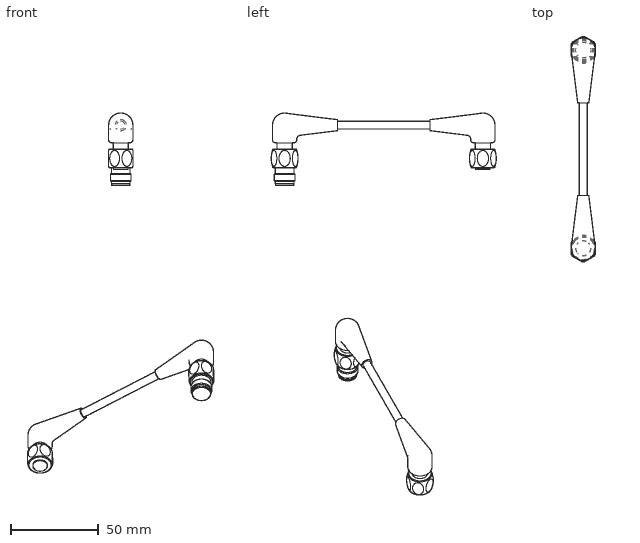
import cadquery as cq
import math

overall_length = 128.6
overall_height = 41.4

elbow_diameter = 14.0
elbow_drop = 10.2
elbow_rim_fillet = 1.9
boot_length = 30.2
boot_tip_diameter = 6.4
crease_fillet = 1.9
cable_diameter = 4.6

neck_diameter = 8.7
nut_top_drop = 13.5
nut_height = 10.9
nut_across_flats = 14.0
nut_waist_diameter = 15.4
nut_end_diameter = 13.4
nut_end_chamfer = 0.4

short_tip_diameter = 8.4
short_tip_length = 0.8
long_shank_diameter = 10.8
collar_diameter = 12.0
collar_top_drop = 27.6
collar_height = 4.5
collar_chamfer = 0.5
lip_diameter = 10.5
lip_height = 1.0

elbow_radius = elbow_diameter / 2
nut_bottom_z = -nut_top_drop - nut_height
long_tip_z = elbow_radius - overall_height
connector_offset = (overall_length - nut_waist_diameter) / 2


def rod(diameter, z_start, z_end):
    """Round rod on the Z axis between two heights."""
    return cq.Workplane("XY").workplane(offset=z_start).circle(diameter / 2).extrude(z_end - z_start)


def elbow_with_boot():
    """Domed elbow with its axis on Z and a tapered boot pointing to +Y."""
    socket = rod(elbow_diameter, -elbow_drop, 0)
    dome = cq.Workplane("XY").sphere(elbow_radius)
    boot = (
        cq.Workplane("XY")
        .lineTo(elbow_radius, 0)
        .lineTo(boot_tip_diameter / 2, boot_length)
        .lineTo(0, boot_length)
        .close()
        .revolve(360, (0, 0, 0), (0, 1, 0))
    )
    body = socket.union(boot).union(dome)
    crease_zone = cq.selectors.BoxSelector(
        (-elbow_radius, elbow_radius / 4, -elbow_radius),
        (elbow_radius, elbow_radius, -elbow_radius / 4),
    )
    body = body.edges(crease_zone).fillet(crease_fillet)
    return body.faces("<Z").edges().fillet(elbow_rim_fillet)


def coupling_nut():
    """Hexagon with flats facing X, turned down to a barrel shape."""
    half_height = nut_height / 2
    across_corners = nut_across_flats / math.cos(math.pi / 6)
    hexagon = (
        cq.Workplane("XY")
        .polygon(6, across_corners)
        .extrude(half_height, both=True)
        .rotate((0, 0, 0), (0, 0, 1), 30)
    )
    barrel = (
        cq.Workplane("XZ")
        .moveTo(0, -half_height)
        .lineTo(nut_end_diameter / 2, -half_height)
        .threePointArc((nut_waist_diameter / 2, 0), (nut_end_diameter / 2, half_height))
        .lineTo(0, half_height)
        .close()
        .revolve(360, (0, 0, 0), (0, 1, 0))
    )
    nut = hexagon.intersect(barrel)
    nut = nut.faces("<Z or >Z").edges().chamfer(nut_end_chamfer)
    return nut.translate((0, 0, -nut_top_drop - half_height))


def cable_end():
    """Elbow, neck and nut shared by both ends, boot pointing to +Y."""
    neck = rod(neck_diameter, -nut_top_drop, -elbow_drop)
    return elbow_with_boot().union(neck).union(coupling_nut())


def long_tip():
    """Stepped tip: shank, raised collar and narrower lip."""
    shank = rod(long_shank_diameter, long_tip_z + lip_height, nut_bottom_z)
    collar = rod(collar_diameter, -collar_top_drop - collar_height, -collar_top_drop)
    lip = rod(lip_diameter, long_tip_z, long_tip_z + lip_height)
    return shank.union(collar.edges().chamfer(collar_chamfer)).union(lip)


short_tip = rod(short_tip_diameter, nut_bottom_z - short_tip_length, nut_bottom_z)

front_end = cable_end().union(short_tip).translate((0, -connector_offset, 0))
back_end = (
    cable_end()
    .union(long_tip())
    .rotate((0, 0, 0), (0, 0, 1), 180)
    .translate((0, connector_offset, 0))
)
cable_half_length = connector_offset - boot_length
cable = cq.Workplane("XZ").circle(cable_diameter / 2).extrude(cable_half_length, both=True)

result = front_end.union(cable).union(back_end)